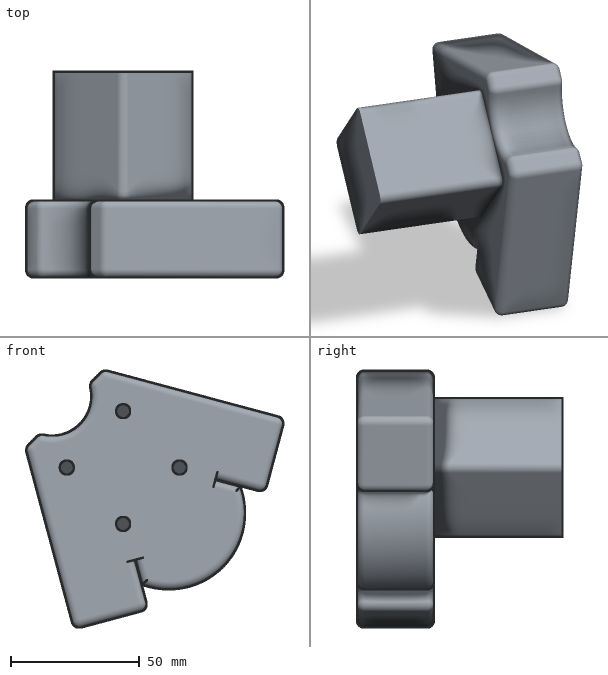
import cadquery as cq
import math

overall_size = 99.9
plate_thickness = 30.0
edge_radius = 3.0
arm_half_angle = 30.0
arm_outer_offset = 34.8
arm_width = 30.0
nose_distance = 32.3
cove_diameter = 30.4
cove_center_distance = 39.1
disc_diameter = 59.5
disc_center_distance = 25.0
slit_width = 0.1
groove_length = 20.0

post_side = 40.0
post_length = 50.0
post_corner_radius = 3.0
hole_spacing = 31.0
hole_diameter = 5.5
hole_depth = plate_thickness

angle = math.radians(arm_half_angle)
axis_tilt = math.radians(45)
arm_tilt = axis_tilt - angle

nose_corner_x = edge_radius - nose_distance
nose_corner_y = (arm_outer_offset - edge_radius + nose_corner_x * math.sin(angle)) / math.cos(angle)
left_extent = (nose_corner_y - nose_corner_x) * math.cos(axis_tilt) + edge_radius
right_extent = overall_size - left_extent
corner_rise = (arm_outer_offset - edge_radius) * math.sin(arm_tilt)
arm_end_distance = (right_extent - edge_radius - corner_rise) / math.cos(arm_tilt) + edge_radius

arm_inner_offset = arm_outer_offset - arm_width
disc_side_offset = arm_inner_offset - slit_width
groove_end = arm_end_distance - groove_length

sketch_plane = cq.Plane(origin=(0, 0, 0), xDir=(1, 0, -1), normal=(0, -1, 0))


def arm_point(along, offset):
    """Point on the upper arm, from its distance along the arm and its sideways offset."""
    x = along * math.cos(angle) - offset * math.sin(angle)
    y = along * math.sin(angle) + offset * math.cos(angle)
    return (x, y)


def mirrored(points):
    """The points reflected in the symmetry axis, in reverse order so that they close an outline."""
    return [(x, -y) for x, y in reversed(points)]


def prism(points):
    return cq.Workplane(sketch_plane).polyline(points).close().extrude(plate_thickness)


def cylinder(center_x, diameter):
    return cq.Workplane(sketch_plane).center(center_x, 0).circle(diameter / 2).extrude(plate_thickness)


def round_rims(body):
    return body.faces("<Y or >Y").edges().fillet(edge_radius)


def axis_point(offset):
    """Where the two lines at this sideways offset, one on each arm, meet on the symmetry axis."""
    return (-offset / math.sin(angle), 0)


def make_arms():
    """Two arms in a V, with a flat nose cut by a round cove, all edges rounded."""
    nose_half_width = (arm_outer_offset - nose_distance * math.sin(angle)) / math.cos(angle)
    upper_side = [
        (-nose_distance, nose_half_width),
        arm_point(arm_end_distance, arm_outer_offset),
        arm_point(arm_end_distance, arm_inner_offset),
    ]
    arms = prism(upper_side + [axis_point(arm_inner_offset)] + mirrored(upper_side))
    arms = arms.cut(cylinder(-cove_center_distance, cove_diameter))
    return round_rims(arms.edges("|Y").fillet(edge_radius))


def make_disc():
    """Disc trimmed to the wedge between the arms."""
    reach = disc_center_distance + disc_diameter
    upper_limit = arm_point(reach, disc_side_offset)
    wedge = prism([axis_point(disc_side_offset), upper_limit] + mirrored([upper_limit]))
    disc = cylinder(disc_center_distance, disc_diameter)
    return round_rims(wedge).intersect(round_rims(disc))


def make_core():
    """Solid block that fills the grooves between arms and disc, up to their inner ends."""
    upper_side = [
        arm_point(groove_end, arm_inner_offset + edge_radius),
        arm_point(groove_end, disc_side_offset - edge_radius),
    ]
    return prism([axis_point(arm_inner_offset + edge_radius)] + upper_side + mirrored(upper_side))


def make_post():
    post = cq.Workplane(sketch_plane).rect(post_side, post_side).extrude(-post_length)
    return post.edges("|Y").fillet(post_corner_radius)


def make_holes():
    """Four blind screw holes, drilled from the front of the plate."""
    front = cq.Workplane(sketch_plane).workplane(offset=plate_thickness)
    centers = front.rect(hole_spacing, hole_spacing, forConstruction=True).vertices()
    return centers.circle(hole_diameter / 2).extrude(-hole_depth)


plate = make_disc().union(make_core()).union(make_arms())
result = plate.union(make_post()).cut(make_holes())